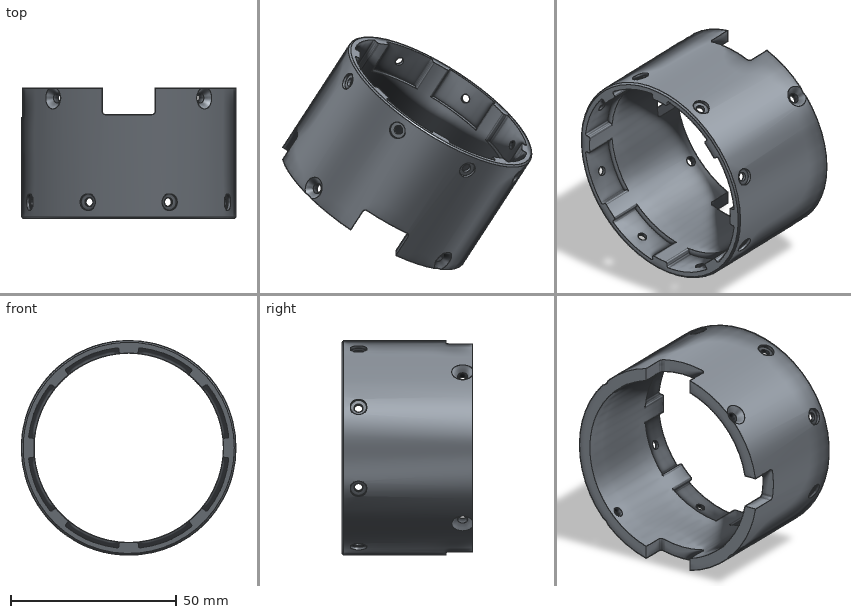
import cadquery as cq
import math

outer_radius = 32.5
inner_radius = 28.65
length = 39.5
front_y = -length / 2
back_y = length / 2
front_chamfer = 0.5

pocket_count = 8
pocket_pitch = 360 / pocket_count
pocket_radius = 30.5
pocket_half_angle = 16.8
pocket_depth = 10.0
pocket_corner_radius = 0.5
pocket_mouth_radius = 0.5

front_hole_inset = 5.0
front_hole_diameter = 2.65
counterbore_diameter = 5.0
counterbore_depth = 1.0

back_hole_count = 4
back_hole_pitch = 360 / back_hole_count
back_hole_inset = 3.0
back_hole_diameter = 3.0
countersink_diameter = 6.6
countersink_angle = 90

wide_notch_width = 16.0
wide_notch_depth = 8.0
side_notch_width = 10.0
side_notch_depth = 9.0
notch_corner_radius = 1.0


def spin(shape, angle):
    """Turn a shape about the ring axis, from +Z toward +X."""
    return shape.rotate((0, 0, 0), (0, 1, 0), angle)


def along_ring(radius, depth):
    """Solid cylinder on the ring axis, running back from the front end."""
    plane = cq.Workplane("XZ", origin=(0, front_y, 0))
    return plane.circle(radius).extrude(-depth)


def ring_body():
    body = along_ring(outer_radius, length).faces("<Y").edges().chamfer(front_chamfer)
    return body.cut(along_ring(inner_radius, length))


def pocket():
    """Ring sector centred on +Z with rounded outer corners."""
    reach = 2 * pocket_radius
    half_width = reach * math.tan(math.radians(pocket_half_angle))
    wedge = (
        cq.Workplane("XZ", origin=(0, front_y, 0))
        .polyline([(0, 0), (half_width, reach), (-half_width, reach)])
        .close()
        .extrude(-pocket_depth)
    )
    sector = along_ring(pocket_radius, pocket_depth).intersect(wedge)
    outer_corners = cq.selectors.BoxSelector(
        (-pocket_radius, front_y, inner_radius / 2),
        (pocket_radius, back_y, pocket_radius),
    )
    return sector.edges("|Y").edges(outer_corners).fillet(pocket_corner_radius)


def radial_hole(diameter, y):
    """Plain hole from the ring axis outward along +Z."""
    return cq.Workplane("XY", origin=(0, y, 0)).circle(diameter / 2).extrude(outer_radius)


def counterbored_hole():
    y = front_y + front_hole_inset
    floor = cq.Workplane("XY", origin=(0, y, outer_radius - counterbore_depth))
    counterbore = floor.circle(counterbore_diameter / 2).extrude(counterbore_depth)
    return radial_hole(front_hole_diameter, y).union(counterbore)


def countersunk_hole():
    y = back_y - back_hole_inset
    cone_height = countersink_diameter / 2 / math.tan(math.radians(countersink_angle / 2))
    cone = cq.Solid.makeCone(
        0, countersink_diameter / 2, cone_height, cq.Vector(0, y, outer_radius - cone_height)
    )
    return radial_hole(back_hole_diameter, y).union(cq.Workplane(cone))


def notch(width, depth):
    """Slot through the wall at +Z, open to the back, with rounded inner corners."""
    return (
        cq.Workplane("XY")
        .center(0, back_y - depth / 2)
        .rect(width, depth)
        .extrude(outer_radius)
        .edges("|Z and <Y")
        .fillet(notch_corner_radius)
    )


def is_pocket_mouth_edge(edge):
    """True for the short edges along Y where a pocket wall meets the bore."""
    center = edge.Center()
    on_bore = math.hypot(center.x, center.z) < (inner_radius + pocket_radius) / 2
    return on_bore and edge.Length() < length / 2


def ease_pocket_mouths(body):
    return body.edges("|Y").filter(is_pocket_mouth_edge).fillet(pocket_mouth_radius)


result = ring_body()

for index in range(pocket_count):
    result = result.cut(spin(pocket(), (index + 0.5) * pocket_pitch))
result = ease_pocket_mouths(result)

for index in range(pocket_count):
    angle = (index + 0.5) * pocket_pitch
    result = result.cut(spin(counterbored_hole(), angle))

for index in range(back_hole_count):
    result = result.cut(spin(countersunk_hole(), (index + 0.5) * back_hole_pitch))

for angle in (0, 180):
    result = result.cut(spin(notch(wide_notch_width, wide_notch_depth), angle))
result = result.cut(spin(notch(side_notch_width, side_notch_depth), -90))